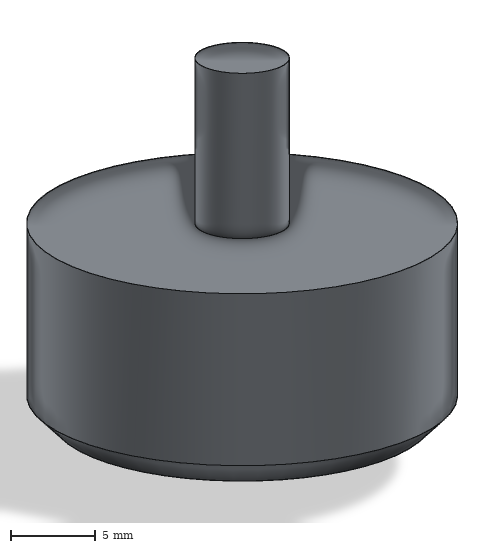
import cadquery as cq

total_height = 26.1
body_diameter = 25.6
stem_diameter = 5.6
stem_height = 10.4
chamfer_size = 1.5
cone_height = 3.42

body_radius = body_diameter / 2
stem_radius = stem_diameter / 2
cone_radius = body_radius - chamfer_size

chamfer_top = cone_height + chamfer_size
body_top = total_height - stem_height

half_section = (
    cq.Workplane("XZ")
    .moveTo(0, 0)
    .lineTo(cone_radius, cone_height)
    .lineTo(body_radius, chamfer_top)
    .lineTo(body_radius, body_top)
    .lineTo(stem_radius, body_top)
    .lineTo(stem_radius, total_height)
    .lineTo(0, total_height)
    .close()
)

result = half_section.revolve(360, (0, 0), (0, 1))